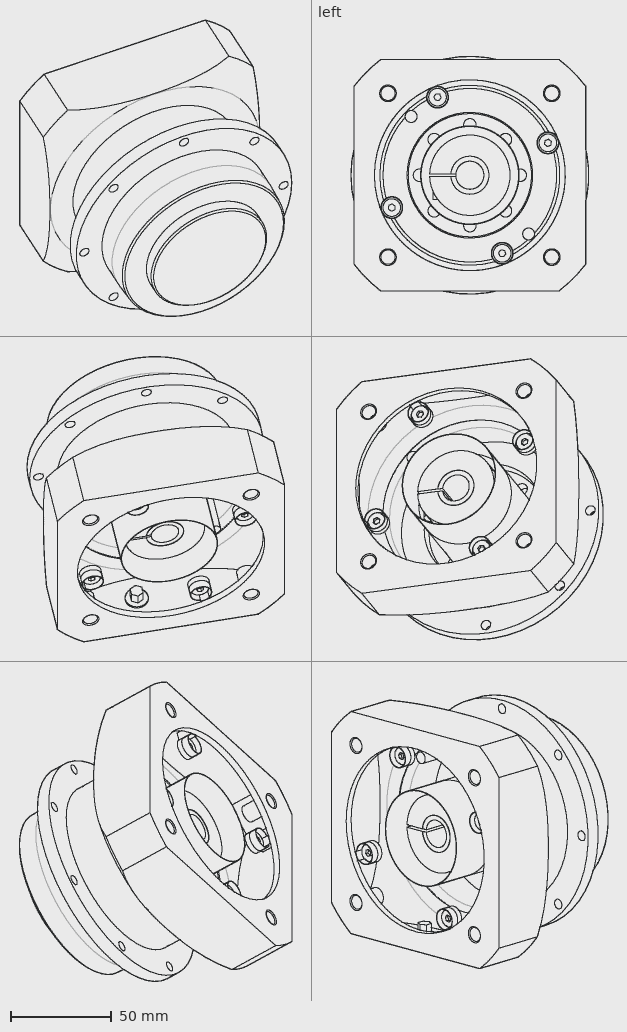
import cadquery as cq
import math


flange_half = 57.5
flange_corner_radius = 72.5
flange_length = 35.5
corner_length = 27.6
back_round_start_radius = 57.2
back_round_mid = (32.3, 65.0)
shell = 1.0

lip_thickness = 3.5
lip_bore_radius = 47.3
cavity_half = flange_half - shell
cavity_corner_leg = 13.0
cavity_end = flange_length - shell
cavity_round_start_radius = 52.5
cavity_round_end_radius = flange_corner_radius - shell

mount_count = 4
mount_offset = 40.6
mount_hole_radius = 3.5
mount_hole_depth = 11.8
mount_chamfer = 0.6
mount_boss_radius = 4.5
mount_boss_end = 15.0

body_radius = 45.0
body_taper_start = 81.4
body_end = 93.0
body_end_radius = 44.4
hub_radius = 31.6
total_length = 99.5
edge_chamfer = 1.0
disc_start = 62.3
disc_end = 69.5
disc_radius = 59.0
disc_hole_count = 8
disc_hole_radius = 2.5
disc_hole_circle = 54.5

mouth_radius = 44.6
wall_radius = 43.1
mouth_end = 40.4
floor_start = 59.0
recess_mouth_radius = 31.2
recess_radius = 30.6
recess_end = 64.9
screw_hole_count = 8
screw_hole_circle = 25.0
screw_hole_radius = 3.1
screw_hole_depth = 5.9

sleeve_start = 4.1
sleeve_radius = 24.4
sleeve_wall = 0.2
clamp_start = 15.0
clamp_radius = 20.0
groove_end = 29.5
shaft_radius = 7.0
shaft_bore_end = 53.1
rim_radius = 9.4
rim_depth = 0.2
slot_width = 1.3

clamp_screw_x = 20.6
clamp_screw_y = 13.2
clamp_screw_radius = 5.1
clamp_screw_bottom = -12.2
clamp_screw_length = 9.4
plug_washer_radius = 5.8
plug_washer_height = 1.0
plug_hex_diameter = 6.8
plug_height = 6.5

cap_count = 4
cap_circle = 41.9
cap_start_angle = 67.5
cap_radius = 5.4
cap_wall = 0.2
cap_start = 4.1
cap_end = 10.9
cap_face = 6.7
cap_head_radius = 4.4
cap_groove_end = 8.3
cap_socket_diameter = 3.7
cap_socket_depth = 1.8
lug_width = 4.7
lug_reach = 50.7

pin_circle = 41.2
pin_radius = 3.0
pin_angles = (45, 225)


def rod(start, end, radius, y=0, z=0):
    """Cylinder along X between two X positions."""
    return cq.Workplane("YZ", origin=(start, y, z)).circle(radius).extrude(end - start)


def cone(start, end, start_radius, end_radius):
    """Truncated cone on the X axis."""
    outline = [(start, 0), (start, start_radius), (end, end_radius), (end, 0)]
    return cq.Workplane("XY").polyline(outline).close().revolve(360, (0, 0, 0), (1, 0, 0))


def ring_points(count, radius, start_angle=0):
    """Y, Z positions evenly spaced on a circle about the X axis."""
    angles = [math.radians(start_angle + 360 / count * i) for i in range(count)]
    return [(radius * math.cos(a), radius * math.sin(a)) for a in angles]


def square_bar(start, end, half):
    """Square prism along X, centred on the axis."""
    return cq.Workplane("YZ", origin=(start, 0, 0)).rect(2 * half, 2 * half).extrude(end - start)


def round_backed(start, side_end, back_end, side_radius, flat_radius, mid):
    """Turned blank whose back edge is a large arc from its side to its flat back."""
    return (
        cq.Workplane("XY")
        .moveTo(start, 0)
        .lineTo(start, side_radius)
        .lineTo(side_end, side_radius)
        .threePointArc(mid, (back_end, flat_radius))
        .lineTo(back_end, 0)
        .close()
        .revolve(360, (0, 0, 0), (1, 0, 0))
    )


def make_flange():
    blank = round_backed(
        0, corner_length, flange_length, flange_corner_radius, back_round_start_radius, back_round_mid
    )
    return square_bar(0, flange_length, flange_half).intersect(blank)


def make_flange_cavity():
    inner_mid = (back_round_mid[0] - shell, back_round_mid[1] - shell)
    blank = round_backed(
        lip_thickness,
        corner_length - shell,
        cavity_end,
        cavity_round_end_radius,
        cavity_round_start_radius,
        inner_mid,
    )
    octagon = square_bar(lip_thickness, cavity_end, cavity_half).edges("|X").chamfer(cavity_corner_leg)
    return octagon.intersect(blank).union(rod(0, lip_thickness, lip_bore_radius))


def make_body():
    body = rod(cavity_end, body_taper_start, body_radius)
    nose = cone(body_taper_start, body_end, body_radius, body_end_radius).faces(">X").chamfer(edge_chamfer)
    hub = rod(body_taper_start, total_length, hub_radius).faces(">X").chamfer(edge_chamfer)
    disc = rod(disc_start, disc_end, disc_radius)
    for y, z in ring_points(disc_hole_count, disc_hole_circle):
        disc = disc.cut(rod(disc_start, disc_end, disc_hole_radius, y, z))
    return body.union(nose).union(hub).union(disc)


def make_body_cavity():
    cavity = cone(cavity_end, mouth_end, mouth_radius, wall_radius)
    cavity = cavity.union(rod(mouth_end, floor_start, wall_radius))
    cavity = cavity.union(cone(floor_start, recess_end, recess_mouth_radius, recess_radius))
    for y, z in ring_points(screw_hole_count, screw_hole_circle):
        cavity = cavity.union(rod(recess_end, recess_end + screw_hole_depth, screw_hole_radius, y, z))
    return cavity


def make_sleeve():
    sleeve = rod(sleeve_start, recess_end + screw_hole_depth, sleeve_radius)
    sleeve = sleeve.cut(rod(sleeve_start, groove_end, sleeve_radius - sleeve_wall))
    clamp = rod(clamp_start, groove_end, clamp_radius)
    screw = (
        cq.Workplane("XY", origin=(clamp_screw_x, clamp_screw_y, clamp_screw_bottom))
        .circle(clamp_screw_radius)
        .extrude(clamp_screw_length)
    )
    slot = cq.Workplane("XY").box(
        groove_end - clamp_start, clamp_radius, slot_width, centered=(False, False, True)
    )
    sleeve = sleeve.union(clamp).union(screw)
    sleeve = sleeve.cut(rod(clamp_start, shaft_bore_end, shaft_radius))
    sleeve = sleeve.cut(rod(clamp_start, clamp_start + rim_depth, rim_radius))
    return sleeve.cut(slot.translate((clamp_start, 0, 0)))


def make_plug():
    base = cq.Workplane("XY", origin=(clamp_screw_x, clamp_screw_y, -cavity_half))
    washer = base.circle(plug_washer_radius).extrude(plug_washer_height)
    return washer.union(base.polygon(6, plug_hex_diameter).extrude(plug_height))


def make_cap_screw(angle):
    """Socket screw in a thin cup, held to the back of the lip by a small lug."""
    cup = rod(cap_start, cap_end, cap_radius, cap_circle)
    lug = cq.Workplane("XY").box(
        cap_end - lip_thickness, lug_reach - cap_circle, lug_width, centered=(False, False, True)
    )
    cup = cup.union(lug.translate((lip_thickness, cap_circle, 0)))
    cup = cup.cut(rod(lip_thickness, cap_groove_end, cap_radius - cap_wall, cap_circle))
    head = rod(cap_face, cap_end, cap_head_radius, cap_circle)
    socket = (
        cq.Workplane("YZ", origin=(cap_face, cap_circle, 0))
        .polygon(6, cap_socket_diameter)
        .extrude(cap_socket_depth)
    )
    return cup.union(head).cut(socket).rotate((0, 0, 0), (1, 0, 0), angle)


result = make_flange().union(make_body())
result = result.cut(make_flange_cavity()).cut(make_body_cavity())

result = result.union(make_sleeve()).union(make_plug())
for i in range(cap_count):
    result = result.union(make_cap_screw(cap_start_angle + 360 / cap_count * i))
for pin_angle in pin_angles:
    pin_y, pin_z = ring_points(1, pin_circle, pin_angle)[0]
    result = result.union(rod(cavity_end, floor_start, pin_radius, pin_y, pin_z))

for y, z in ring_points(mount_count, mount_offset * math.sqrt(2), 45):
    result = result.union(rod(lip_thickness, mount_boss_end, mount_boss_radius, y, z))
    hole = rod(0, mount_hole_depth, mount_hole_radius, y, z)
    lead_in = cone(0, mount_chamfer, mount_hole_radius + mount_chamfer, mount_hole_radius)
    result = result.cut(hole).cut(lead_in.translate((0, y, z)))